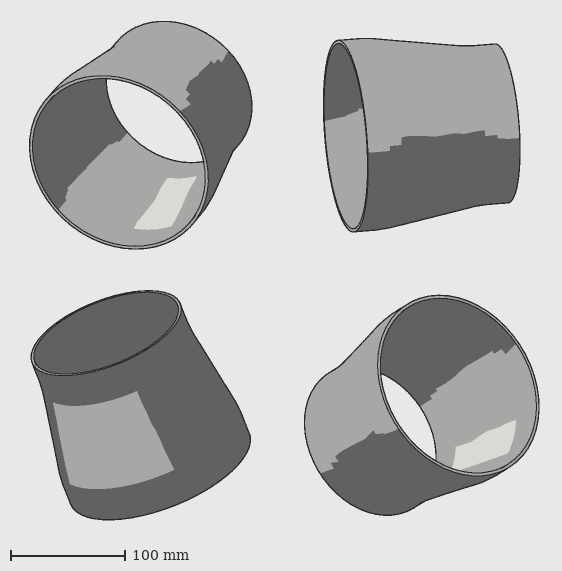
import cadquery as cq

large_outer_diameter = 168.3
large_inner_diameter = 162.5
small_outer_diameter = 139.7
small_inner_diameter = 134.5
total_length = 140.0
collar_length = 20.0
easing_length = 11.0
easing_drop = 0.8

large_collar_end = collar_length
cone_start = large_collar_end + easing_length
small_collar_end = total_length - collar_length
cone_end = small_collar_end - easing_length


def reducer_body(large_diameter, small_diameter):
    """Solid of revolution about Y: collar, short cone, long cone, short cone, collar."""
    large_radius = large_diameter / 2
    small_radius = small_diameter / 2
    half_profile = (
        cq.Workplane("YZ")
        .lineTo(0, large_radius)
        .lineTo(large_collar_end, large_radius)
        .lineTo(cone_start, large_radius - easing_drop)
        .lineTo(cone_end, small_radius + easing_drop)
        .lineTo(small_collar_end, small_radius)
        .lineTo(total_length, small_radius)
        .lineTo(total_length, 0)
        .close()
    )
    return half_profile.revolve(360, (0, 0, 0), (1, 0, 0))


outer_body = reducer_body(large_outer_diameter, small_outer_diameter)
bore = reducer_body(large_inner_diameter, small_inner_diameter)
result = outer_body.cut(bore)